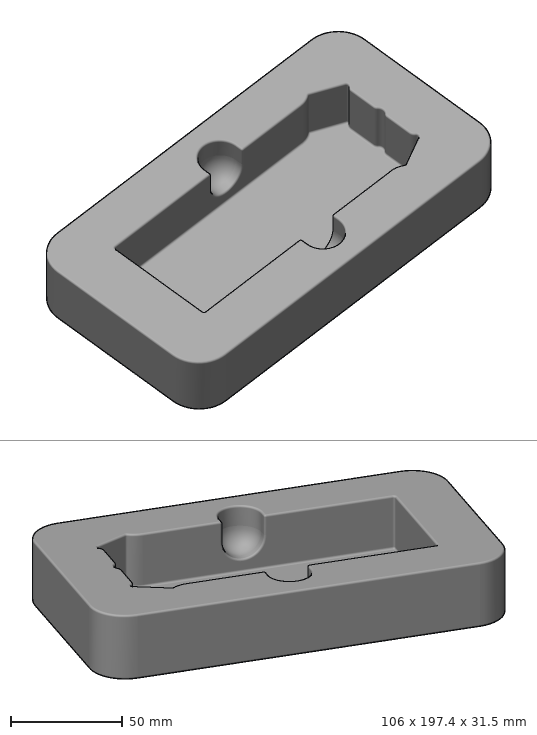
import cadquery as cq
import math

LENGTH = 197.4
WIDTH = 106.0
HEIGHT = 31.5
CORNER_RADIUS = 17.0
EDGE_ROUND = 1.0

POCKET_DEPTH = 26.0
POCKET_HALF_WIDTH = 28.0
POCKET_BOTTOM_Y = -70.5
POCKET_TOP_Y = 71.8
TIP_RADIUS = EDGE_ROUND
SIDE_TIP = (29.2, 57.0)
TOP_TIP = (22.0, 72.6)
SIDE_BLEND_Y = 50.0
TOP_BLEND_X = 18.2

NOTCH_RADIUS = 3.2
NOTCH_INSET = 1.4
NOTCH_CENTER = (0, POCKET_TOP_Y - NOTCH_INSET)
NOTCH_BLEND_X = 4.1

SCOOP_RADIUS = 10.0
SCOOP_CENTER_X = 32.2
SCOOP_CENTER_Y = 1.88
SHAFT_DEPTH = 9.9
SCOOP_CENTER_Z = HEIGHT - SHAFT_DEPTH

SELECT_MARGIN = 0.2


def toward(start, end, distance):
    """Point at the given distance from start on the way to end."""
    span = math.dist(start, end)
    return tuple(s + (e - s) * distance / span for s, e in zip(start, end))


def arc_middle(center, start, end):
    """Middle point of the shorter arc from start to end around center."""
    chord_middle = tuple((s + e) / 2 for s, e in zip(start, end))
    return toward(center, chord_middle, math.dist(center, start))


def wall_blend(wall_point, outward, circle_center, circle_radius):
    """Arc leaving a wall at wall_point and running tangent into a circle.

    outward is the unit vector from the pocket into the wall.
    Returns the arc's centre and the point where it meets the circle.
    """
    offset = tuple(c - w for c, w in zip(circle_center, wall_point))
    across = offset[0] * outward[0] + offset[1] * outward[1]
    span = math.hypot(*offset)
    radius = (span**2 - circle_radius**2) / (2 * (across + circle_radius))
    center = tuple(w + radius * o for w, o in zip(wall_point, outward))
    return center, toward(circle_center, center, circle_radius)


def pocket_outline():
    into_side = (1, 0)
    into_top = (0, 1)

    side_start = (POCKET_HALF_WIDTH, SIDE_BLEND_Y)
    side_center, side_join = wall_blend(side_start, into_side, SIDE_TIP, TIP_RADIUS)
    top_start = (TOP_BLEND_X, POCKET_TOP_Y)
    top_center, top_join = wall_blend(top_start, into_top, TOP_TIP, TIP_RADIUS)
    notch_start = (NOTCH_BLEND_X, POCKET_TOP_Y)
    notch_center, notch_join = wall_blend(notch_start, into_top, NOTCH_CENTER, NOTCH_RADIUS)
    notch_top = (0, NOTCH_CENTER[1] + NOTCH_RADIUS)

    slant_x, slant_y = (t - s for s, t in zip(SIDE_TIP, TOP_TIP))
    reach = TIP_RADIUS / math.hypot(slant_x, slant_y)
    shoulder_low = (SIDE_TIP[0] + slant_y * reach, SIDE_TIP[1] - slant_x * reach)
    shoulder_high = (TOP_TIP[0] + slant_y * reach, TOP_TIP[1] - slant_x * reach)

    return (
        cq.Workplane("XY", origin=(0, 0, HEIGHT - POCKET_DEPTH))
        .moveTo(0, POCKET_BOTTOM_Y)
        .lineTo(POCKET_HALF_WIDTH, POCKET_BOTTOM_Y)
        .lineTo(*side_start)
        .threePointArc(arc_middle(side_center, side_start, side_join), side_join)
        .threePointArc(arc_middle(SIDE_TIP, side_join, shoulder_low), shoulder_low)
        .lineTo(*shoulder_high)
        .threePointArc(arc_middle(TOP_TIP, shoulder_high, top_join), top_join)
        .threePointArc(arc_middle(top_center, top_join, top_start), top_start)
        .lineTo(*notch_start)
        .threePointArc(arc_middle(notch_center, notch_start, notch_join), notch_join)
        .threePointArc(arc_middle(NOTCH_CENTER, notch_join, notch_top), notch_top)
        .mirrorY()
    )


def make_block():
    block = cq.Workplane("XY").rect(WIDTH, LENGTH).extrude(HEIGHT)
    block = block.edges("|Z").fillet(CORNER_RADIUS)
    return block.faces("<Z or >Z").edges().fillet(EDGE_ROUND)


def make_pocket():
    pocket = pocket_outline().extrude(POCKET_DEPTH)
    pocket = pocket.edges("|Z").edges("<Y").fillet(EDGE_ROUND)
    return pocket.faces("<Z").edges().fillet(EDGE_ROUND)


def make_scoop(side):
    """Scoop on the +X (side = 1) or -X (side = -1) wall of the pocket."""
    center = (side * SCOOP_CENTER_X, SCOOP_CENTER_Y, SCOOP_CENTER_Z)
    reach = SCOOP_RADIUS

    ball = cq.Workplane("XY", origin=center).sphere(SCOOP_RADIUS)
    shaft = cq.Workplane("XY", origin=center).circle(SCOOP_RADIUS).extrude(SHAFT_DEPTH)
    tunnel = cq.Workplane("YZ", origin=center).circle(SCOOP_RADIUS).extrude(-side * reach)
    opening = (
        cq.Workplane("YZ", origin=center)
        .rect(2 * SCOOP_RADIUS, SHAFT_DEPTH, centered=(True, False))
        .extrude(-side * reach)
    )
    return ball.union(shaft).union(tunnel).union(opening)


def round_openings(body):
    """Round the pocket rim together with the edges where the scoops meet the pocket walls."""
    rim_half_x = SCOOP_CENTER_X + SCOOP_RADIUS + SELECT_MARGIN
    rim_half_y = NOTCH_CENTER[1] + NOTCH_RADIUS + SELECT_MARGIN
    rim_box = cq.selectors.BoxSelector(
        (-rim_half_x, -rim_half_y, HEIGHT - SELECT_MARGIN),
        (rim_half_x, rim_half_y, HEIGHT + SELECT_MARGIN),
        boundingbox=True,
    )
    openings = body.edges(rim_box)

    mouth_half_y = SCOOP_RADIUS + SELECT_MARGIN
    for side in (1, -1):
        wall_x = side * POCKET_HALF_WIDTH
        mouth_box = cq.selectors.BoxSelector(
            (wall_x - SELECT_MARGIN, SCOOP_CENTER_Y - mouth_half_y, HEIGHT - POCKET_DEPTH),
            (wall_x + SELECT_MARGIN, SCOOP_CENTER_Y + mouth_half_y, HEIGHT),
            boundingbox=True,
        )
        openings = openings.add(body.edges(mouth_box))
    return openings.fillet(EDGE_ROUND)


body = make_block().cut(make_pocket())
for side in (1, -1):
    body = body.cut(make_scoop(side))
result = round_openings(body)